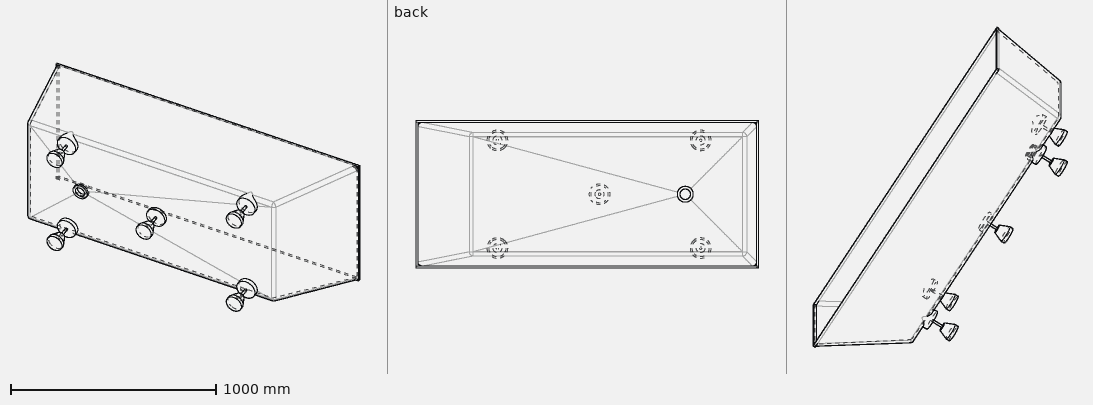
import cadquery as cq


rim_length = 1671.84
rim_width = 720.15
rim_height = 12.0
floor_depth = 410.0
floor_start_x = 50.0
floor_end_x = 1415.0
floor_width = 618.0
edge_radius = 21.0
wall = 10.0

floor_fall = 15.0
fall_start_x = 69.0
fall_end_x = 1402.0
fall_width = 580.0

drain_x = 358.0
drain_diameter = 78.0
drain_bore = 50.0

overall_depth = 560.0
foot_x_near = 283.0
foot_x_middle = 776.0
foot_x_far = 1274.0
foot_z = 262.5
pad_diameter = 101.0
pad_bottom = 435.0
pad_top = 340.0
rod_diameter = 12.0
foot_top = 494.0
foot_rim_height = 18.0
foot_top_diameter = 44.0
foot_base_diameter = 84.0


def level(depth):
    """Plane square to Y at a depth below the rim; its normal points along -Y."""
    return cq.Workplane("XZ", origin=(0, -depth, 0))


def disc(x, z, diameter, top, bottom):
    """Upright cylinder between two depths below the rim."""
    return level(top).center(x, z).circle(diameter / 2).extrude(bottom - top)


def tapered_block(inset):
    """Block with four sloping sides and rounded edges, set in from the outer walls and floor."""
    mouth_length = rim_length - 2 * inset
    floor_length = floor_end_x - floor_start_x - 2 * inset
    depth = floor_depth - inset
    block = (
        level(rim_height)
        .center(rim_length / 2, 0)
        .rect(mouth_length, rim_width - 2 * inset)
        .workplane(offset=depth - rim_height)
        .center((floor_start_x + floor_end_x - rim_length) / 2, 0)
        .rect(floor_length, floor_width - 2 * inset)
        .loft(ruled=True)
    )
    mouth_edges = block.faces(">Y").edges()
    rounded = block.edges().filter(lambda edge: not any(edge.isSame(other) for other in mouth_edges.vals()))
    return rounded.fillet(edge_radius)


def floor_pyramid(inset):
    """Flat pyramid on the floor with its tip at the drain."""
    base_y = inset - floor_depth
    half_width = fall_width / 2 - inset
    start_x = fall_start_x + inset
    end_x = fall_end_x - inset
    corners = [
        cq.Vector(start_x, base_y, -half_width),
        cq.Vector(end_x, base_y, -half_width),
        cq.Vector(end_x, base_y, half_width),
        cq.Vector(start_x, base_y, half_width),
    ]
    tip = cq.Vector(drain_x, base_y - floor_fall, 0)
    faces = [cq.Face.makeFromWires(cq.Wire.makePolygon(corners, close=True))]
    for index, corner in enumerate(corners):
        triangle = [corner, corners[index - 1], tip]
        faces.append(cq.Face.makeFromWires(cq.Wire.makePolygon(triangle, close=True)))
    return cq.Workplane(cq.Solid.makeSolid(cq.Shell.makeShell(faces)).fix())


def rim_plate(inset):
    """Square-cornered plate between the top of the rim and the sloping walls."""
    return (
        level(0)
        .center(rim_length / 2, 0)
        .rect(rim_length - 2 * inset, rim_width - 2 * inset)
        .extrude(rim_height)
    )


def tub_form(inset):
    """Whole tub shape without feet; inset 0 is the outside, inset wall is the cavity."""
    return rim_plate(inset).union(tapered_block(inset)).union(floor_pyramid(inset))


def foot(x, z):
    """Mounting pad, threaded rod and conical foot in one piece."""
    cone_bottom = overall_depth - foot_rim_height
    pad = disc(x, z, pad_diameter, pad_top, pad_bottom)
    rod = disc(x, z, rod_diameter, pad_bottom, foot_top)
    cone = (
        level(foot_top)
        .center(x, z)
        .circle(foot_top_diameter / 2)
        .workplane(offset=cone_bottom - foot_top)
        .circle(foot_base_diameter / 2)
        .loft()
    )
    base = disc(x, z, foot_base_diameter, cone_bottom, overall_depth)
    return pad.union(rod).union(cone).union(base)


foot_places = [(foot_x_middle, 0)]
for foot_x in (foot_x_near, foot_x_far):
    for side in (-1, 1):
        foot_places.append((foot_x, side * foot_z))

tub = tub_form(0)
for x, z in foot_places:
    tub = tub.union(foot(x, z))
tub = tub.cut(tub_form(wall))
tub = tub.cut(disc(drain_x, 0, drain_diameter, 0, overall_depth))

drain_top = floor_depth + floor_fall - wall
drain = disc(drain_x, 0, drain_diameter, drain_top, pad_bottom)
drain = drain.cut(disc(drain_x, 0, drain_bore, drain_top, pad_bottom))

result = cq.Compound.makeCompound([tub.val(), drain.val()])